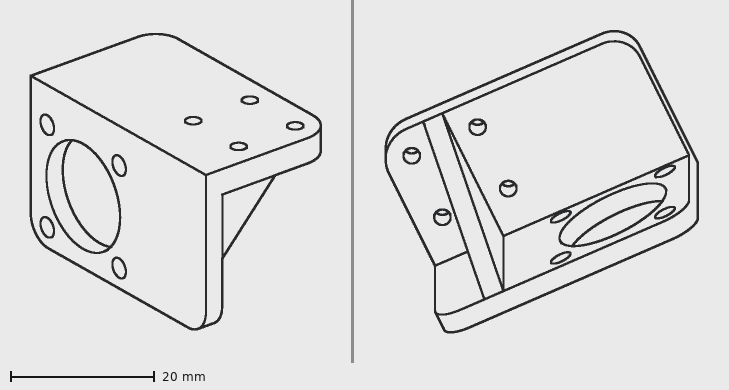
import cadquery as cq

length = 39.05
depth = 23.1
height = 25.4
shelf_thickness = 4.0
wall_thickness = 2.93
corner_radius = 3.95
large_corner_radius = 5.0

opening_diameter = 16.4
opening_x = 11.7
opening_z = height - 14.2
wall_hole_diameter = 3.0
wall_hole_spacing = 16.0

shelf_hole_diameter = 2.3
shelf_hole_spacing = 10.1
shelf_holes_x = 30.0
shelf_holes_y = depth - 9.0

rib_thickness = 2.93

shelf_underside = height - shelf_thickness


def make_shelf():
    """Horizontal plate with rounded rear corners and mounting holes."""
    shelf = cq.Workplane("XY").box(length, depth, shelf_thickness, centered=False)
    shelf = shelf.translate((0, 0, shelf_underside))
    shelf = shelf.edges("|Z and >Y and <X").fillet(corner_radius)
    shelf = shelf.edges("|Z and >Y and >X").fillet(large_corner_radius)
    holes = (
        cq.Workplane("XY", origin=(shelf_holes_x, shelf_holes_y, shelf_underside))
        .rarray(shelf_hole_spacing, shelf_hole_spacing, 2, 2)
        .circle(shelf_hole_diameter / 2)
        .extrude(shelf_thickness)
    )
    return shelf.cut(holes)


def make_wall():
    """Vertical plate with rounded lower corners, motor opening and screw holes."""
    wall = cq.Workplane("XY").box(length, wall_thickness, height, centered=False)
    wall = wall.edges("|Y and <Z").fillet(corner_radius)
    hole_plane = cq.Workplane("XZ", origin=(opening_x, wall_thickness, opening_z))
    opening = hole_plane.circle(opening_diameter / 2).extrude(wall_thickness)
    screw_holes = (
        hole_plane.rarray(wall_hole_spacing, wall_hole_spacing, 2, 2)
        .circle(wall_hole_diameter / 2)
        .extrude(wall_thickness)
    )
    return wall.cut(opening).cut(screw_holes)


def make_rib():
    """Triangular rib bracing the shelf against the rear face of the wall."""
    return (
        cq.Workplane("YZ", origin=(shelf_holes_x - rib_thickness / 2, 0, 0))
        .moveTo(wall_thickness, 0)
        .lineTo(wall_thickness, shelf_underside)
        .lineTo(depth, shelf_underside)
        .close()
        .extrude(rib_thickness)
    )


result = make_shelf().union(make_wall()).union(make_rib())